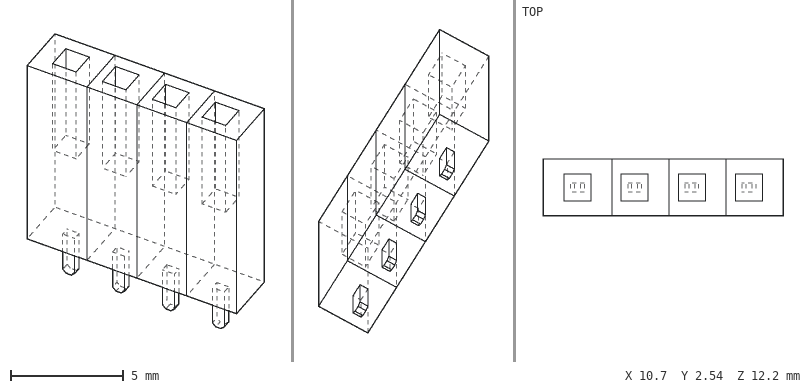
import cadquery as cq

MODULE_COUNT = 4
PITCH = 2.54
BODY_DEPTH = PITCH
BODY_HEIGHT = 10.0
STRIP_WIDTH = 0.51
SOCKET_SIDE = 1.2
SOCKET_DEPTH = BODY_HEIGHT / 2
PIN_WIDTH = 0.61
PIN_THICKNESS = 0.4
PIN_LENGTH = 2.2
PIN_CHAMFER = 0.17

MODULE_WIDTH = PITCH + STRIP_WIDTH
TOTAL_WIDTH = MODULE_COUNT * PITCH + STRIP_WIDTH


def upright_block(left, right):
    """Full-depth, full-height block between two X positions, standing on Z = 0."""
    return (
        cq.Workplane("XY")
        .box(right - left, BODY_DEPTH, BODY_HEIGHT, centered=(False, True, False))
        .translate((left, 0, 0))
    )


def socket(center_x):
    """Blind square opening for the mating pin."""
    return (
        cq.Workplane("XY", origin=(center_x, 0, BODY_HEIGHT - SOCKET_DEPTH))
        .box(SOCKET_SIDE, SOCKET_SIDE, SOCKET_DEPTH, centered=(True, True, False))
    )


def pin(center_x):
    """Flat solder pin below the body, with its two narrow tip edges chamfered."""
    return (
        cq.Workplane("XY", origin=(center_x, 0, -PIN_LENGTH))
        .box(PIN_WIDTH, PIN_THICKNESS, PIN_LENGTH, centered=(True, True, False))
        .faces("<Z")
        .edges("|Y")
        .chamfer(PIN_CHAMFER)
    )


def contact_module(index):
    """One contact position: body, socket, pin and the strip towards the next module."""
    left = index * PITCH - TOTAL_WIDTH / 2
    right = left + MODULE_WIDTH
    center_x = (left + right) / 2
    is_first = index == 0
    is_last = index == MODULE_COUNT - 1

    body_left = left if is_first else left + STRIP_WIDTH
    body_right = right if is_last else right - STRIP_WIDTH
    module = upright_block(body_left, body_right).cut(socket(center_x)).union(pin(center_x))
    if not is_last:
        module = module.union(upright_block(body_right, right), clean=False)
    return module


contact_modules = [contact_module(index) for index in range(MODULE_COUNT)]

result = cq.Compound.makeCompound([module.solids().val() for module in contact_modules])